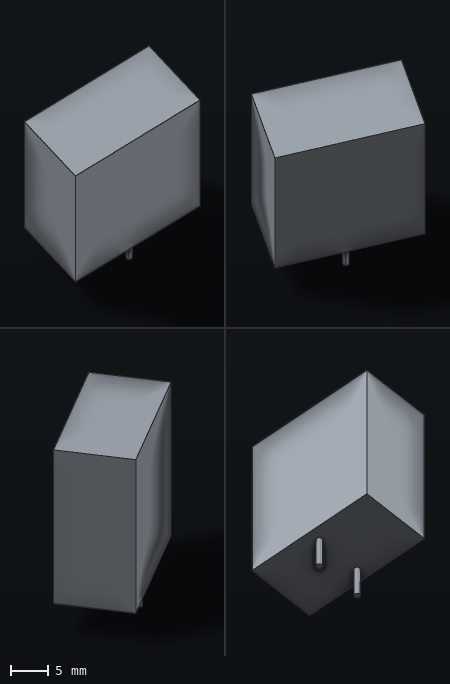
import cadquery as cq

total_height = 29.23
case_width = 11.43
case_depth = 21.1
case_height = 24.11

lead_diameter = 0.88
lead_spacing = 7.5
lead_length = total_height - case_height


def make_case():
    """Plain rectangular case standing on the XY plane."""
    return cq.Workplane("XY").box(case_width, case_depth, case_height, centered=(True, True, False))


def make_lead(x):
    """Round lead hanging from the underside of the case."""
    return cq.Workplane("XY").center(x, 0).circle(lead_diameter / 2).extrude(-lead_length)


case = make_case()
leads = [make_lead(side * lead_spacing / 2) for side in (-1, 1)]

result = cq.Compound.makeCompound([case.val(), *[lead.val() for lead in leads]])